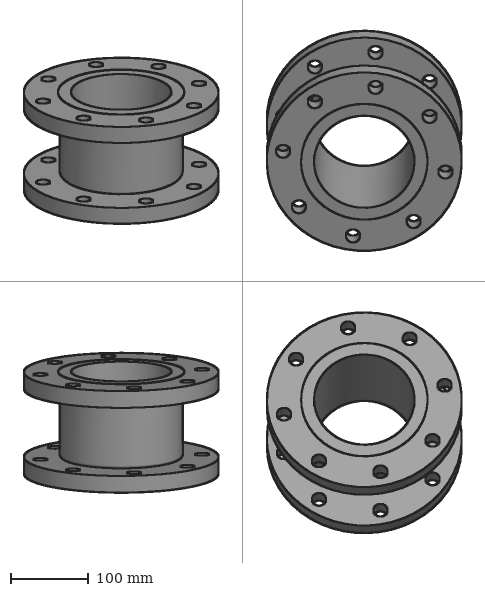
import cadquery as cq

flange_diameter = 250.0
total_height = 134.0

flange_thickness = 22.0
raised_face_diameter = 162.0
raised_face_height = 0.5

sleeve_diameter = 158.0
sleeve_end_radius = 3.8
bore_diameter = 128.8

bolt_count = 8
bolt_circle_diameter = 210.0
bolt_hole_diameter = 18.0
bolt_pitch_angle = 360.0 / bolt_count

sleeve_length = total_height - 2 * (flange_thickness + raised_face_height)


def make_sleeve():
    """Central cylinder with both end edges rounded, centred on the origin."""
    sleeve = cq.Workplane("XY").circle(sleeve_diameter / 2).extrude(sleeve_length / 2, both=True)
    return sleeve.edges("%CIRCLE").fillet(sleeve_end_radius)


def make_upper_flange():
    """Bolted disc on top of the sleeve, with its raised sealing face."""
    disc = (
        cq.Workplane("XY", origin=(0, 0, sleeve_length / 2))
        .circle(flange_diameter / 2)
        .extrude(flange_thickness)
    )
    flange = disc.faces(">Z").workplane().circle(raised_face_diameter / 2).extrude(raised_face_height)
    bolt_holes = (
        cq.Workplane("XY")
        .polarArray(bolt_circle_diameter / 2, bolt_pitch_angle / 2, 360, bolt_count)
        .circle(bolt_hole_diameter / 2)
        .extrude(total_height)
    )
    return flange.cut(bolt_holes)


upper_flange = make_upper_flange()
lower_flange = upper_flange.mirror("XY")
bore = cq.Workplane("XY").circle(bore_diameter / 2).extrude(total_height, both=True)

result = make_sleeve().union(upper_flange).union(lower_flange).cut(bore)